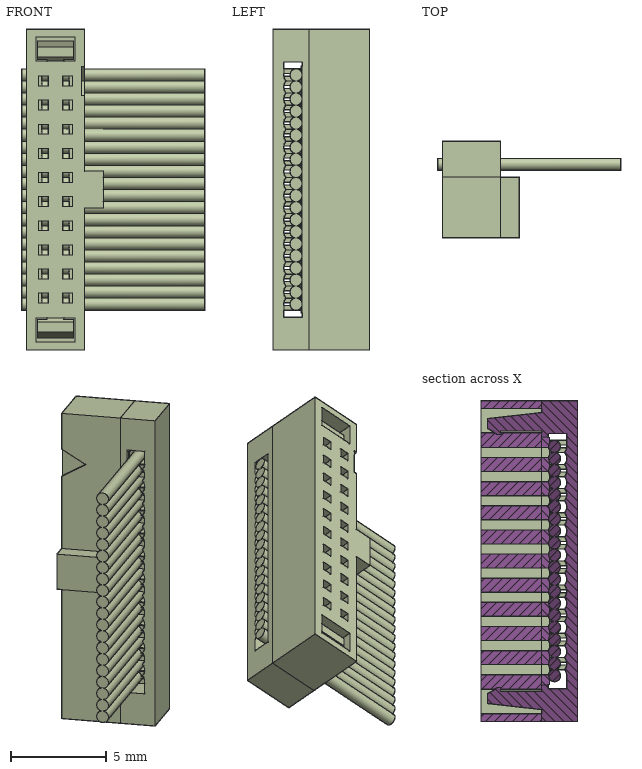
import cadquery as cq
import math


body_width = 3.05
body_height = 16.89
housing_depth = 3.2
cover_depth = 1.9
mating_face_y = -housing_depth

wire_count = 20
wire_diameter = 0.65
cable_height = 12.7
cable_length = 9.65
cable_stub = 0.25
wire_pitch = (cable_height - wire_diameter) / (wire_count - 1)
wire_z = [(i - (wire_count - 1) / 2) * wire_pitch for i in range(wire_count)]

slot_front_y = 0.35
slot_depth = 0.96
slot_height = 13.41
slot_back_y = slot_front_y + slot_depth
wire_y = slot_front_y + wire_diameter / 2
tooth_height = 0.12

cavity_rows = wire_count // 2
cavity_pitch = 2 * wire_pitch
cavity_column_spacing = 1.27
cavity_size = 0.52
cavity_z = [(i - (cavity_rows - 1) / 2) * cavity_pitch for i in range(cavity_rows)]

base_width = 2.36
base_height = 13.0
base_rise = 0.07
base_back_y = slot_front_y + base_rise
base_opening_width = 0.32
base_opening_spacing = 1.11
fork_row_spacing = 1.6
fork_thickness = 0.15
fork_slit = 0.14
fork_width = 0.66

key_width = 1.0
key_height = 1.95

mark_side = 1.52
mark_depth = 0.15

window_width = 2.06
window_height = 1.27
window_end_margin = 0.42
arm_width = 1.9
arm_tip_setback = 0.34
arm_outer_inset_root = 0.62
arm_outer_inset_tip = 0.95
arm_inner_inset_tip = 1.47
arm_inner_inset = 1.6
lead_in_angle = 60.0
lead_in_slope = math.tan(math.radians(lead_in_angle))
arm_tip_y = mating_face_y + arm_tip_setback
catch_width = 0.9
catch_inner_inset = 1.77
catch_land = 0.17


def block(width, depth, height, y_front, x=0.0, z=0.0):
    """Box centred on x and z, whose front face lies at y_front."""
    return cq.Workplane("XY").box(width, depth, height).translate((x, y_front + depth / 2, z))


def extrude_along_x(outline, width, x_start):
    """Solid from (Y, Z) points, extruded along X from x_start."""
    return cq.Workplane("YZ").workplane(offset=x_start).polyline(outline).close().extrude(width)


def both_ends(upper):
    """A feature at the +Z end together with its mirror image at the -Z end."""
    return upper.union(upper.mirror("XY"))


def make_cable():
    x_start = -body_width / 2 - cable_stub
    cable = None
    for z in wire_z:
        wire = (
            cq.Workplane("YZ")
            .workplane(offset=x_start)
            .center(wire_y, z)
            .circle(wire_diameter / 2)
            .extrude(cable_length)
        )
        cable = wire if cable is None else cable.union(wire)
    return cable


def make_base_plate():
    return block(base_width, base_back_y, base_height, 0)


def make_fork(x, z):
    """Two prongs astride a wire, rooted in the base plate and reaching the back wall of the slot."""
    slit = block(fork_thickness, slot_back_y, fork_slit, 0, x, z)
    return block(fork_thickness, slot_back_y, fork_width, 0, x, z).cut(slit)


def make_contact_block(wires):
    """Base plate with grooves for the wires and openings to the cavities, and the forks on it."""
    contacts = make_base_plate().cut(wires)
    for side in (-1, 1):
        for z in cavity_z:
            x = side * base_opening_spacing / 2
            contacts = contacts.cut(block(base_opening_width, base_back_y, cavity_size, 0, x, z))
    for i, z in enumerate(wire_z):
        side = 1 if i % 2 == 0 else -1
        contacts = contacts.union(make_fork(side * fork_row_spacing / 2, z))
    return contacts


def make_slot_tooth(z_lower):
    """Cusp between two neighbouring wires, left by the round troughs behind them."""
    half_pitch = wire_pitch / 2
    trough_radius = (half_pitch**2 + tooth_height**2) / (2 * tooth_height)
    quarter_pitch = wire_pitch / 4
    mid_height = trough_radius - math.sqrt(trough_radius**2 - quarter_pitch**2)
    z_cusp = z_lower + half_pitch
    return (
        cq.Workplane("YZ")
        .workplane(offset=-body_width / 2)
        .moveTo(slot_back_y, z_lower)
        .threePointArc(
            (slot_back_y - mid_height, z_cusp - quarter_pitch),
            (slot_back_y - tooth_height, z_cusp),
        )
        .threePointArc(
            (slot_back_y - mid_height, z_cusp + quarter_pitch),
            (slot_back_y, z_lower + wire_pitch),
        )
        .close()
        .extrude(body_width)
    )


def make_latch_arm():
    """Tapered arm at the +Z end, with a sloped lead-in on the inner side of its tip."""
    end = body_height / 2
    lead_in = (arm_inner_inset - arm_inner_inset_tip) * lead_in_slope
    outline = [
        (0, end - arm_outer_inset_root),
        (arm_tip_y, end - arm_outer_inset_tip),
        (arm_tip_y, end - arm_inner_inset_tip),
        (arm_tip_y + lead_in, end - arm_inner_inset),
        (0, end - arm_inner_inset),
    ]
    return extrude_along_x(outline, arm_width, -arm_width / 2)


def make_catch():
    """Barb in the middle of the arm, which continues the lead-in slope inwards."""
    end = body_height / 2
    crest_y = arm_tip_y + (catch_inner_inset - arm_inner_inset_tip) * lead_in_slope
    outline = [
        (arm_tip_y, end - arm_inner_inset_tip),
        (crest_y, end - catch_inner_inset),
        (crest_y + catch_land, end - catch_inner_inset),
        (crest_y + catch_land, end - arm_inner_inset_tip),
    ]
    return extrude_along_x(outline, catch_width, -catch_width / 2)


def make_cover(contacts):
    cover = block(body_width, cover_depth, body_height, 0)
    cover = cover.cut(block(body_width, slot_depth, slot_height, slot_front_y))
    for z in wire_z[:-1]:
        cover = cover.union(make_slot_tooth(z))
    cover = cover.cut(make_base_plate()).cut(contacts)
    return cover.union(both_ends(make_latch_arm().union(make_catch())))


def make_pin_one_mark():
    """Triangular recess with its base on the mating face, beside the top row of cavities."""
    z = cavity_z[-1]
    outline = [
        (mating_face_y, z - mark_side / 2),
        (mating_face_y, z + mark_side / 2),
        (mating_face_y + mark_side * math.sqrt(3) / 2, z),
    ]
    return extrude_along_x(outline, mark_depth, body_width / 2 - mark_depth)


def make_housing():
    housing = block(body_width, housing_depth, body_height, mating_face_y)
    key_x = (body_width + key_width) / 2
    housing = housing.union(block(key_width, housing_depth, key_height, mating_face_y, key_x))
    for side in (-1, 1):
        for z in cavity_z:
            x = side * cavity_column_spacing / 2
            housing = housing.cut(block(cavity_size, housing_depth, cavity_size, mating_face_y, x, z))
    window_z = body_height / 2 - window_end_margin - window_height / 2
    window = block(window_width, housing_depth, window_height, mating_face_y, 0, window_z)
    housing = housing.cut(both_ends(window.union(make_catch())))
    return housing.cut(make_pin_one_mark())


uncut_cable = make_cable()
contact_block = make_contact_block(uncut_cable)
cable = uncut_cable.cut(contact_block)
cover = make_cover(contact_block)
housing = make_housing()

bodies = [housing, cover, cable, contact_block]
result = cq.Compound.makeCompound([body.solids().val() for body in bodies])